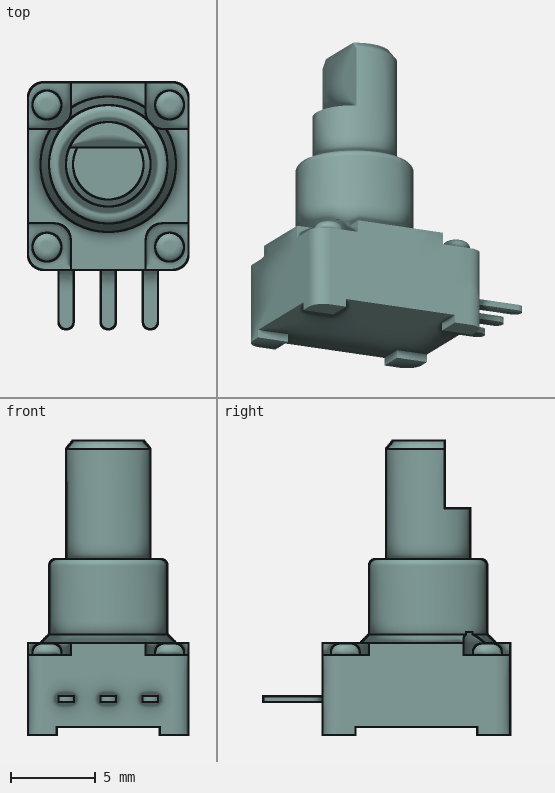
import cadquery as cq

BODY_WIDTH = 9.5
BODY_DEPTH = 11.1
BODY_HEIGHT = 5.45
BODY_CORNER_RADIUS = 0.95

FOOT_WIDTH = 1.72
FOOT_DEPTH = 1.97
FOOT_HEIGHT = 0.47

POCKET_WIDTH = 2.54
POCKET_DEPTH = 2.77
POCKET_CORNER_RADIUS = 1.0
POCKET_FLOOR_Z = 4.73
POCKET_CUT_TOP_Z = 6.09

RIVET_DIAMETER = 1.7
RIVET_HEIGHT = 0.66
RIVET_FILLET = 0.49
RIVET_INSET_X = 1.13
RIVET_INSET_Y = 1.35

AXIS_Y = 0.7
BUSHING_DIAMETER = 7.0
BUSHING_TOP_Z = 10.4
BUSHING_FILLET = 0.42
CONE_HEIGHT = 0.5

SHAFT_DIAMETER = 5.0
SHAFT_TOP_Z = 17.4
SHAFT_CHAMFER_HEIGHT = 0.5
SHAFT_CHAMFER_INSET = 0.42
FLAT_LENGTH = 4.0
FLAT_OFFSET = 1.0

PIN_COUNT = 3
PIN_PITCH = 2.49
PIN_WIDTH = 0.9
PIN_THICKNESS = 0.35
PIN_LENGTH = 3.5
PIN_BOTTOM_Z = 1.95
PIN_TIP_FILLET = 0.44
PIN_EMBED = 0.35

CORNER_SIGNS = [(sx, sy) for sx in (-1, 1) for sy in (-1, 1)]


def make_housing():
    """Rounded block with two crossing channels cut through its underside."""
    block = (
        cq.Workplane("XY")
        .rect(BODY_WIDTH, BODY_DEPTH)
        .extrude(BODY_HEIGHT)
        .edges("|Z")
        .fillet(BODY_CORNER_RADIUS)
    )
    along_y = cq.Workplane("XY").rect(BODY_WIDTH - 2 * FOOT_WIDTH, BODY_DEPTH).extrude(FOOT_HEIGHT)
    along_x = cq.Workplane("XY").rect(BODY_WIDTH, BODY_DEPTH - 2 * FOOT_DEPTH).extrude(FOOT_HEIGHT)
    return block.cut(along_y).cut(along_x)


def make_bushing():
    """Round-topped collar with a 45 degree cone at its foot, turned about its own axis."""
    radius = BUSHING_DIAMETER / 2
    cone_radius = radius + CONE_HEIGHT
    profile = (
        cq.Workplane("XZ")
        .moveTo(0, BODY_HEIGHT)
        .lineTo(cone_radius, BODY_HEIGHT)
        .lineTo(radius, BODY_HEIGHT + CONE_HEIGHT)
        .lineTo(radius, BUSHING_TOP_Z)
        .lineTo(0, BUSHING_TOP_Z)
        .close()
    )
    collar = profile.revolve(360, (0, 0, 0), (0, 1, 0))
    return collar.faces(">Z").edges().fillet(BUSHING_FILLET).translate((0, AXIS_Y, 0))


def make_shaft():
    """Chamfered round shaft with a flat on the +Y side of its upper end."""
    radius = SHAFT_DIAMETER / 2
    profile = (
        cq.Workplane("XZ")
        .moveTo(0, BODY_HEIGHT)
        .lineTo(radius, BODY_HEIGHT)
        .lineTo(radius, SHAFT_TOP_Z - SHAFT_CHAMFER_HEIGHT)
        .lineTo(radius - SHAFT_CHAMFER_INSET, SHAFT_TOP_Z)
        .lineTo(0, SHAFT_TOP_Z)
        .close()
    )
    shaft = profile.revolve(360, (0, 0, 0), (0, 1, 0))
    flat_cut = (
        cq.Workplane("XY")
        .box(SHAFT_DIAMETER, radius, FLAT_LENGTH, centered=(True, False, False))
        .translate((0, FLAT_OFFSET, SHAFT_TOP_Z - FLAT_LENGTH))
    )
    return shaft.cut(flat_cut).translate((0, AXIS_Y, 0))


def make_pocket_cut(sign_x, sign_y):
    """Cutter for one corner pocket; only its innermost upright edge is rounded."""
    center_x = sign_x * (BODY_WIDTH - POCKET_WIDTH) / 2
    center_y = sign_y * (BODY_DEPTH - POCKET_DEPTH) / 2
    inner_edge = cq.selectors.NearestToPointSelector((0, 0, (POCKET_FLOOR_Z + POCKET_CUT_TOP_Z) / 2))
    return (
        cq.Workplane("XY", origin=(center_x, center_y, POCKET_FLOOR_Z))
        .rect(POCKET_WIDTH, POCKET_DEPTH)
        .extrude(POCKET_CUT_TOP_Z - POCKET_FLOOR_Z)
        .edges("|Z")
        .edges(inner_edge)
        .fillet(POCKET_CORNER_RADIUS)
    )


def make_rivet(sign_x, sign_y):
    """Rivet head standing on a pocket floor."""
    center_x = sign_x * (BODY_WIDTH / 2 - RIVET_INSET_X)
    center_y = sign_y * (BODY_DEPTH / 2 - RIVET_INSET_Y)
    return (
        cq.Workplane("XY", origin=(center_x, center_y, POCKET_FLOOR_Z))
        .circle(RIVET_DIAMETER / 2)
        .extrude(RIVET_HEIGHT)
        .faces(">Z")
        .edges()
        .fillet(RIVET_FILLET)
    )


def make_pin(center_x):
    """Flat terminal with a rounded tip, rooted inside the housing wall."""
    return (
        cq.Workplane("XY")
        .box(PIN_WIDTH, PIN_LENGTH + PIN_EMBED, PIN_THICKNESS, centered=(True, False, False))
        .translate((center_x, -BODY_DEPTH / 2 - PIN_LENGTH, PIN_BOTTOM_Z))
        .faces("<Y")
        .edges("|Z")
        .fillet(PIN_TIP_FILLET)
    )


result = make_housing().union(make_bushing())

for sign_x, sign_y in CORNER_SIGNS:
    result = result.cut(make_pocket_cut(sign_x, sign_y))
    result = result.union(make_rivet(sign_x, sign_y))

result = result.union(make_shaft())

for index in range(PIN_COUNT):
    result = result.union(make_pin((index - (PIN_COUNT - 1) / 2) * PIN_PITCH))